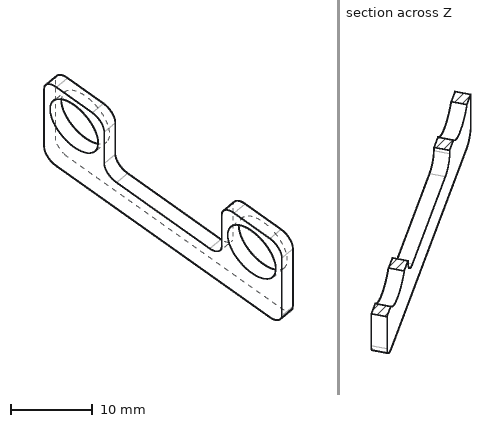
import cadquery as cq

length = 39.55
height = 15.0
thickness = 2.0
ear_width = 10.0
notch_depth = 10.0
corner_radius = 2.0
hole_diameter = 8.0

notch_width = length - 2 * ear_width
notch_center_z = height / 2 - notch_depth / 2
hole_x = length / 2 - ear_width / 2
hole_z = height / 2 - ear_width / 2


def u_shaped_plate():
    """Flat plate in the XZ plane with a notch between two ears, all corners rounded."""
    plate = cq.Workplane("XY").box(length, thickness, height)
    notch = (
        cq.Workplane("XY")
        .box(notch_width, thickness, notch_depth)
        .translate((0, 0, notch_center_z))
    )
    return plate.cut(notch).edges("|Y").fillet(corner_radius)


def ear_holes():
    """One through hole in each ear, concentric with the square end of the ear."""
    return (
        cq.Workplane("XZ", origin=(0, thickness / 2, 0))
        .pushPoints([(-hole_x, hole_z), (hole_x, hole_z)])
        .circle(hole_diameter / 2)
        .extrude(thickness)
    )


result = u_shaped_plate().cut(ear_holes())